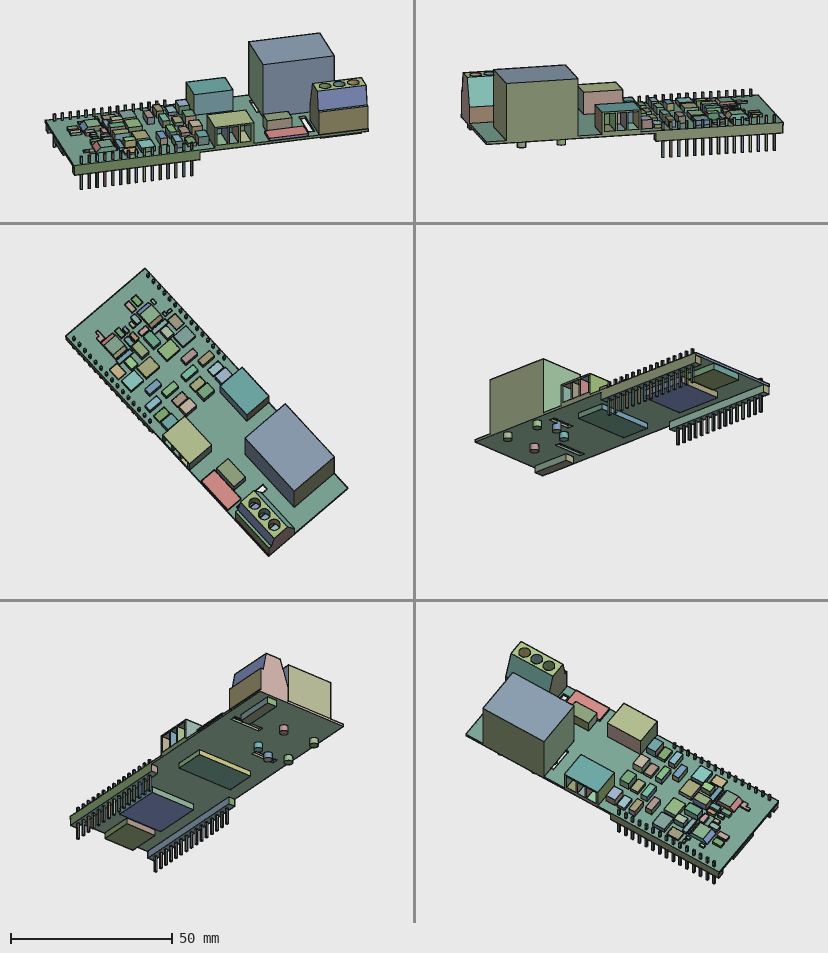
import cadquery as cq
BOARD_WIDTH = 33.0
BOARD_LENGTH = 94.8
BOARD_THICKNESS = 0.9
BOARD_EDGE = BOARD_WIDTH / 2
UNDERSIDE = -BOARD_THICKNESS

PIN_COUNT = 15
PIN_SPAN = 35.55
PIN_SIZE = 0.7
PIN_X = 15.4
FIRST_PIN_Y = 2.7
PIN_TOP = 2.3
PIN_BOTTOM = -9.0
HEADER_WIDTH = 2.4
HEADER_FRONT = 0.2
HEADER_BACK = 40.7
HEADER_BOTTOM = -3.4

RELAY_WIDTH = 16.7
RELAY_FRONT = 65.5
RELAY_BACK = 88.45
RELAY_HEIGHT = 18.4
RELAY_CENTRE_X = RELAY_WIDTH / 2 - BOARD_EDGE
PEG_DIAMETER = 2.75
PEG_BOTTOM = -2.9
PEG_SPREAD = 6.0
COMMON_PEG_Y = 67.7
COIL_PEG_Y = 70.3
CONTACT_PEG_Y = 83.0
RELAY_SLOT = (-12.5, -4.2, 64.7, 66.6)

TERMINAL_FRONT = 79.1
TERMINAL_LEFT = 5.6
TERMINAL_RIGHT = 16.2
TERMINAL_HEIGHT = 14.0
TERMINAL_TOP_LEFT = 8.5
TERMINAL_TOP_RIGHT = 14.1
TERMINAL_SLOPE_BASE = 5.2
TERMINAL_STEP_X = 15.3
TERMINAL_STEP_HEIGHT = 7.8
SCREW_DIAMETER = 3.6
SCREW_DEPTH = 4.7
SCREW_SLOT_WIDTH = 2.4
SCREW_SLOT_DEPTH = 0.95
SCREW_X = 11.2
SCREW_PITCH = 4.55
SCREW_COUNT = 3
TERMINAL_SLOT = (2.5, 13.4, 76.4, 78.4)

CONNECTOR_DEPTH = 9.2
CONNECTOR_FRONT = 45.4
CONNECTOR_BACK = 57.9
CONNECTOR_HEIGHT = 7.1
POCKET_BOTTOM = 0.9
POCKET_TOP = 6.5
POCKET_DEPTH = 7.6
POCKET_SPANS = [(46.1, 49.6), (50.15, 53.0), (53.7, 57.1)]

PACKAGE_FRONT = 9.0
PACKAGE_BACK = 15.9
PACKAGE_TOP_FRONT = 10.5
PACKAGE_TOP_BACK = 14.8
PACKAGE_HEIGHT = 1.7
PACKAGE_LIP = 0.3
PACKAGE_LEFTS = (-9.9, 5.0)
PACKAGE_WIDTH = 4.9

MIRRORED_PARTS = [
    (1.5, 5.9, 41.05, 44.4, 2.8),
    (9.0, 13.4, 41.05, 44.4, 2.8),
    (1.5, 5.9, 37.6, 40.4, 1.1),
    (9.0, 13.4, 37.6, 40.4, 1.1),
    (1.5, 6.5, 33.7, 35.9, 2.3),
    (8.6, 13.4, 33.7, 35.9, 2.3),
    (5.0, 10.0, 29.7, 31.95, 2.3),
    (1.5, 7.0, 22.7, 27.1, 1.5),
    (8.2, 13.4, 22.7, 27.1, 1.5),
    (6.2, 8.7, 18.7, 22.2, 2.3),
    (10.4, 13.65, 17.3, 21.5, 0.6),
    (0.95, 3.9, 16.7, 21.5, 2.6),
]
SINGLE_PARTS = [
    (-10.1, -4.4, 16.5, 18.1, 0.95),
    (4.5, 10.2, 16.5, 18.1, 0.95),
    (-13.65, -12.1, 15.1, 15.9, 0.6),
    (-11.7, -10.7, 14.5, 15.9, 0.6),
    (-11.7, -10.7, 9.1, 10.8, 0.6),
    (-8.5, -6.4, 4.7, 8.0, 0.9),
    (-5.6, -3.8, 4.7, 8.25, 0.9),
    (-4.2, -0.95, 14.2, 15.9, 1.1),
    (0.1, 1.6, 13.1, 15.9, 1.1),
    (2.2, 3.9, 13.1, 16.2, 1.1),
    (-4.2, -2.4, 9.1, 12.2, 1.1),
    (-1.9, -0.7, 10.2, 12.2, 1.1),
    (0.8, 1.9, 10.2, 12.2, 1.1),
    (2.5, 4.2, 9.1, 12.2, 1.1),
    (7.9, 10.0, 7.0, 8.8, 0.6),
    (7.9, 8.8, 5.4, 8.8, 0.6),
    (5.8, 10.5, 63.9, 72.0, 4.1),
    (10.7, 16.2, 63.0, 75.6, 0.9),
]
UNDERSIDE_PARTS = [
    (-8.2, 2.9, 0.3, 11.4, -2.9),
    (-8.2, 8.2, 14.2, 30.5, -2.9),
    (-10.1, 10.1, 46.4, 56.5, -2.7),
    (9.3, 12.7, 80.4, 93.8, -3.1),
]


def block(left, right, front, back, bottom, top):
    """Box given by its limits along X, Y and Z."""
    size = (right - left, back - front, top - bottom)
    return cq.Workplane("XY").box(*size, centered=False).translate((left, front, bottom))


def mirror_x(body):
    return body.mirror("YZ")


def make_board():
    board = block(-BOARD_EDGE, BOARD_EDGE, 0, BOARD_LENGTH, UNDERSIDE, 0)
    for slot in (RELAY_SLOT, TERMINAL_SLOT):
        board = board.cut(block(*slot, UNDERSIDE, 0))
    return board


def make_header():
    """Right-hand pin header: a plastic strip below the board and its pins."""
    header = block(BOARD_EDGE - HEADER_WIDTH, BOARD_EDGE, HEADER_FRONT, HEADER_BACK, HEADER_BOTTOM, UNDERSIDE)
    pin_points = [(PIN_X, FIRST_PIN_Y + i * PIN_SPAN / (PIN_COUNT - 1)) for i in range(PIN_COUNT)]
    pins = (
        cq.Workplane("XY", origin=(0, 0, PIN_BOTTOM))
        .pushPoints(pin_points)
        .rect(PIN_SIZE, PIN_SIZE)
        .extrude(PIN_TOP - PIN_BOTTOM)
    )
    return header.union(pins)


def make_relay():
    case = block(
        -BOARD_EDGE, RELAY_WIDTH - BOARD_EDGE, RELAY_FRONT, RELAY_BACK, 0, RELAY_HEIGHT
    )
    peg_points = [(RELAY_CENTRE_X, COMMON_PEG_Y)]
    for side in (-1, 1):
        for y in (COIL_PEG_Y, CONTACT_PEG_Y):
            peg_points.append((RELAY_CENTRE_X + side * PEG_SPREAD, y))
    pegs = (
        cq.Workplane("XY", origin=(0, 0, PEG_BOTTOM))
        .pushPoints(peg_points)
        .circle(PEG_DIAMETER / 2)
        .extrude(-PEG_BOTTOM)
    )
    return case.union(pegs)


def make_screw_well():
    """Space above one screw, with a wide slot along X sunk into its floor."""
    well = cq.Workplane("XY").circle(SCREW_DIAMETER / 2).extrude(-SCREW_DEPTH)
    slot = (
        cq.Workplane("XY", origin=(0, 0, -SCREW_DEPTH))
        .rect(SCREW_DIAMETER, SCREW_SLOT_WIDTH)
        .extrude(-SCREW_SLOT_DEPTH)
    )
    slot_limit = cq.Workplane("XY").circle(SCREW_DIAMETER / 2).extrude(-SCREW_DEPTH - SCREW_SLOT_DEPTH)
    return well.union(slot.intersect(slot_limit))


def make_terminal():
    profile = [
        (TERMINAL_LEFT, 0),
        (TERMINAL_LEFT, TERMINAL_SLOPE_BASE),
        (TERMINAL_TOP_LEFT, TERMINAL_HEIGHT),
        (TERMINAL_TOP_RIGHT, TERMINAL_HEIGHT),
        (TERMINAL_STEP_X, TERMINAL_STEP_HEIGHT),
        (TERMINAL_RIGHT, TERMINAL_STEP_HEIGHT),
        (TERMINAL_RIGHT, 0),
    ]
    terminal = (
        cq.Workplane("XZ", origin=(0, TERMINAL_FRONT, 0))
        .polyline(profile)
        .close()
        .extrude(TERMINAL_FRONT - BOARD_LENGTH)
    )
    middle_y = (TERMINAL_FRONT + BOARD_LENGTH) / 2
    for i in range(SCREW_COUNT):
        y = middle_y + (i - (SCREW_COUNT - 1) / 2) * SCREW_PITCH
        terminal = terminal.cut(make_screw_well().translate((SCREW_X, y, TERMINAL_HEIGHT)))
    return terminal


def make_connector():
    """Right-hand edge connector."""
    connector = block(
        BOARD_EDGE - CONNECTOR_DEPTH, BOARD_EDGE, CONNECTOR_FRONT, CONNECTOR_BACK, 0, CONNECTOR_HEIGHT
    )
    for front, back in POCKET_SPANS:
        pocket = block(BOARD_EDGE - POCKET_DEPTH, BOARD_EDGE, front, back, POCKET_BOTTOM, POCKET_TOP)
        connector = connector.cut(pocket)
    return connector


def make_power_package(left):
    profile = [
        (PACKAGE_FRONT, 0),
        (PACKAGE_FRONT, PACKAGE_LIP),
        (PACKAGE_TOP_FRONT, PACKAGE_HEIGHT),
        (PACKAGE_TOP_BACK, PACKAGE_HEIGHT),
        (PACKAGE_BACK, PACKAGE_LIP),
        (PACKAGE_BACK, 0),
    ]
    return (
        cq.Workplane("YZ", origin=(left, 0, 0))
        .polyline(profile)
        .close()
        .extrude(PACKAGE_WIDTH)
    )


result = make_board().union(make_relay()).union(make_terminal())

for right_hand_body in (make_header(), make_connector()):
    result = result.union(right_hand_body).union(mirror_x(right_hand_body))

for package_left in PACKAGE_LEFTS:
    result = result.union(make_power_package(package_left))

for left, right, front, back, height in MIRRORED_PARTS:
    part = block(left, right, front, back, 0, height)
    result = result.union(part).union(mirror_x(part))

for left, right, front, back, height in SINGLE_PARTS:
    result = result.union(block(left, right, front, back, 0, height))

for left, right, front, back, bottom in UNDERSIDE_PARTS:
    result = result.union(block(left, right, front, back, bottom, UNDERSIDE))